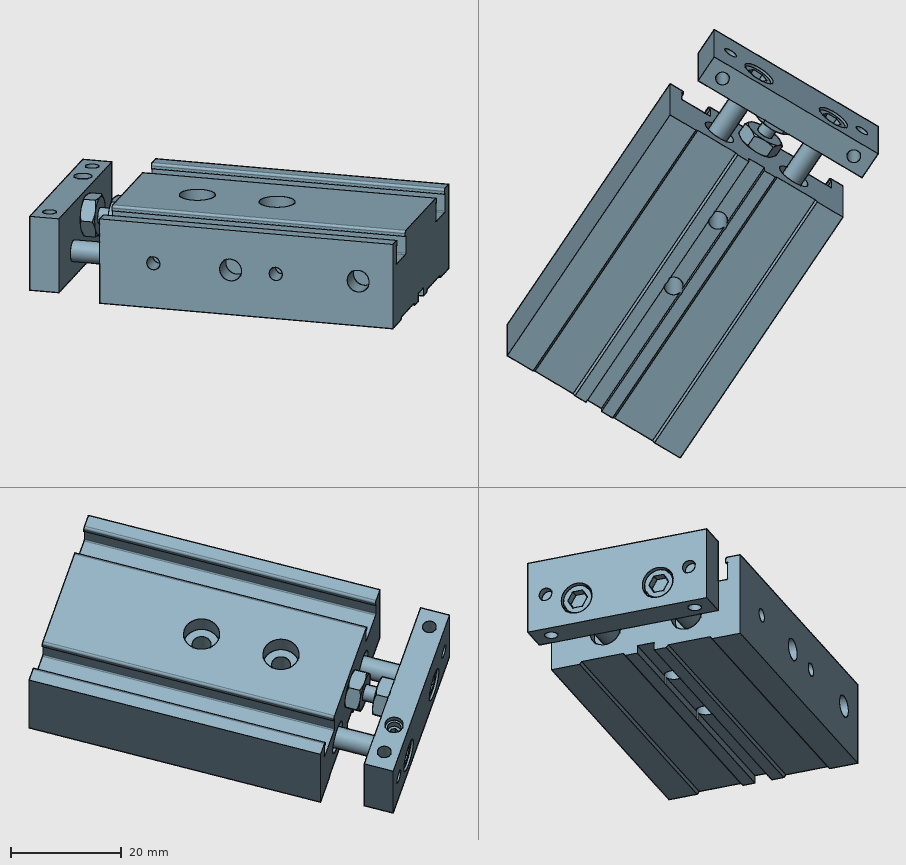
import cadquery as cq
import math


length = 68.5
housing_length = 55.1
housing_width = 37.0
housing_height = 16.0
housing_front = length - housing_length
mid_height = housing_height / 2

plate_thickness = 5.5
plate_width = 35.1
plate_height = 14.05
plate_hole_diameter = 2.5
plate_hole_offset = 14.05
front_hole_depth = 1.4

rod_diameter = 4.0
rod_offset = 7.95
rod_height = 6.0
rod_recess_diameter = 6.0
rod_recess_depth = 2.05
screw_bore_diameter = 6.0
screw_head_diameter = 5.5
screw_head_recess = 0.4
screw_gap_depth = 0.7
screw_hex_flats = 3.3
screw_hex_depth = 1.5

set_bore_diameter = 3.3
set_bore_depth = 1.0
set_cup_diameter = 2.5
set_cup_depth = 1.4
set_hex_flats = 1.4
set_hex_depth = 1.4

bolt_diameter = 3.0
bolt_height = 10.5
nut_flats = 7.0
nut_thickness = 2.75
nut_chamfer_angle = 30.0

groove_offset = 12.95
groove_mouth = 5.3
groove_width = 6.1
groove_depth = 4.5
groove_lip_height = 1.0
lip_fillet = 0.5
floor_fillet = 0.2

bottom_slot_width = 3.3
bottom_slot_depth = 1.5
relief_offset = 8.5
relief_mouth = 9.0
relief_floor = 8.15
relief_depth = 0.5

mount_positions = [26.5, 41.5]
mount_diameter = 3.4
counterbore_diameter = 6.5
counterbore_depth = 3.5
side_hole_height = 8.5
small_side_positions = [23.5, 46.5]
small_side_diameter = 2.5
large_side_positions = [38.0, 62.0]
large_side_diameter = 4.1
side_hole_depth = 4.1


def cylinder_x(x, y, z, diameter, depth):
    """Round bar that runs along +X from the point (x, y, z)."""
    return cq.Workplane("YZ", origin=(x, y, z)).circle(diameter / 2).extrude(depth)


def hexagon_across(flats):
    """Diameter of the circle through the corners of a hexagon."""
    return flats / math.cos(math.radians(30))


def hexagon_x(x, y, z, flats, depth):
    """Hexagonal bar along +X with corners at its +Y and -Y sides."""
    return cq.Workplane("YZ", origin=(x, y, z)).polygon(6, hexagon_across(flats)).extrude(depth)


def top_groove(side):
    """Cutter for one groove: a mouth between rounded lips over a wider cavity."""
    middle = side * groove_offset
    plane = cq.Workplane("YZ", origin=(housing_front, middle, 0))
    mouth = groove_mouth / 2
    top = housing_height
    opening = (
        plane.moveTo(-mouth, top - groove_depth)
        .lineTo(mouth, top - groove_depth)
        .lineTo(mouth, top - lip_fillet)
        .radiusArc((mouth + lip_fillet, top), lip_fillet)
        .lineTo(-mouth - lip_fillet, top)
        .radiusArc((-mouth, top - lip_fillet), lip_fillet)
        .close()
        .extrude(housing_length)
    )
    cavity_height = groove_depth - groove_lip_height
    cavity = (
        plane.center(0, top - groove_depth + cavity_height / 2)
        .rect(groove_width, cavity_height)
        .extrude(housing_length)
        .edges("|X and <Z")
        .fillet(floor_fillet)
    )
    return opening.union(cavity)


def bottom_relief(side):
    """Cutter for one shallow sloping-sided relief in the underside."""
    return (
        cq.Workplane("YZ", origin=(housing_front, side * relief_offset, 0))
        .polyline([
            (-relief_mouth / 2, 0),
            (relief_mouth / 2, 0),
            (relief_floor / 2, relief_depth),
            (-relief_floor / 2, relief_depth),
        ])
        .close()
        .extrude(housing_length)
    )


def side_hole(x, diameter):
    """Cutter for one blind hole in the -Y side."""
    return (
        cq.Workplane("XZ", origin=(x, -housing_width / 2, side_hole_height))
        .circle(diameter / 2)
        .extrude(-side_hole_depth)
    )


def make_housing():
    body = cq.Workplane("XY").box(
        housing_length, housing_width, housing_height, centered=(False, True, False)
    ).translate((housing_front, 0, 0))

    for side in (-1, 1):
        body = body.cut(top_groove(side))
        body = body.cut(bottom_relief(side))
        body = body.cut(
            cylinder_x(housing_front, side * rod_offset, rod_height, rod_recess_diameter, rod_recess_depth)
        )

    bottom_slot = cq.Workplane("XY").box(
        housing_length, bottom_slot_width, bottom_slot_depth, centered=(False, True, False)
    ).translate((housing_front, 0, 0))
    body = body.cut(bottom_slot)

    body = (
        body.faces(">Z").workplane(origin=(0, 0, housing_height))
        .pushPoints([(x, 0) for x in mount_positions])
        .cboreHole(mount_diameter, counterbore_diameter, counterbore_depth)
    )

    for x in small_side_positions:
        body = body.cut(side_hole(x, small_side_diameter))
    for x in large_side_positions:
        body = body.cut(side_hole(x, large_side_diameter))
    return body


def make_nut(x):
    """Hexagonal nut along X with both ends chamfered by a cone."""
    blank = hexagon_x(x, 0, bolt_height, nut_flats, nut_thickness)
    corner = hexagon_across(nut_flats) / 2
    face = nut_flats / 2
    bevel = (corner - face) * math.tan(math.radians(nut_chamfer_angle))
    envelope = (
        cq.Workplane("XY")
        .polyline([
            (0, 0),
            (0, face),
            (bevel, corner),
            (nut_thickness - bevel, corner),
            (nut_thickness, face),
            (nut_thickness, 0),
        ])
        .close()
        .revolve(360, (0, 0, 0), (1, 0, 0))
        .translate((x, 0, bolt_height))
    )
    return blank.intersect(envelope)


def cut_rod_screw(body, y):
    """Recessed socket-head screw in the outer face of the plate."""
    body = body.cut(cylinder_x(0, y, rod_height, screw_bore_diameter, screw_head_recess + screw_gap_depth))
    body = body.union(cylinder_x(screw_head_recess, y, rod_height, screw_head_diameter, screw_gap_depth))
    return body.cut(hexagon_x(screw_head_recess, y, rod_height, screw_hex_flats, screw_hex_depth))


def cut_set_screw(body):
    """Sunk set screw in the top of the plate, above one rod."""
    top = mid_height + plate_height / 2
    place = cq.Workplane("XY", origin=(plate_thickness / 2, rod_offset, top))
    body = body.cut(place.circle(set_bore_diameter / 2).extrude(-set_bore_depth))
    cup_floor = set_bore_depth + set_cup_depth
    body = body.cut(place.circle(set_cup_diameter / 2).extrude(-cup_floor))
    socket = place.transformed(rotate=(0, 0, 90)).polygon(6, hexagon_across(set_hex_flats))
    return body.cut(socket.extrude(-cup_floor - set_hex_depth))


def make_slide():
    body = cq.Workplane("XY").box(
        plate_thickness, plate_width, plate_height, centered=(False, True, True)
    ).translate((0, 0, mid_height))

    rod_length = housing_front + rod_recess_depth - plate_thickness
    for side in (-1, 1):
        y = side * rod_offset
        body = body.union(cylinder_x(plate_thickness, y, rod_height, rod_diameter, rod_length))
        body = cut_rod_screw(body, y)

        hole_y = side * plate_hole_offset
        body = body.cut(
            cq.Workplane("XY", origin=(plate_thickness / 2, hole_y, 0))
            .circle(plate_hole_diameter / 2)
            .extrude(housing_height)
        )
        body = body.cut(cylinder_x(0, hole_y, mid_height, plate_hole_diameter, front_hole_depth))

    body = cut_set_screw(body)

    bolt_length = housing_front - plate_thickness
    body = body.union(cylinder_x(plate_thickness, 0, bolt_height, bolt_diameter, bolt_length))
    for x in (plate_thickness, housing_front - nut_thickness):
        body = body.union(make_nut(x))
    return body


housing = make_housing()
slide = make_slide()

result = cq.Compound.makeCompound([housing.val(), slide.val()])